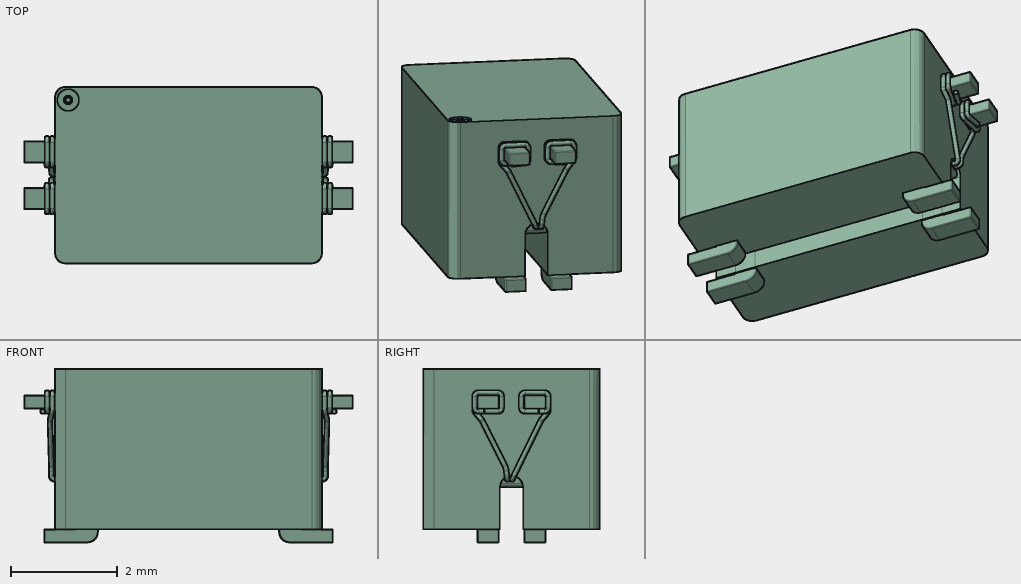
import cadquery as cq
import math

HOUSING_LENGTH = 4.995
HOUSING_WIDTH = 3.3
HOUSING_HEIGHT = 3.0
HOUSING_CORNER_RADIUS = 0.195
HOUSING_END = HOUSING_LENGTH / 2

SLOT_WIDTH = 0.43
SLOT_RADIUS = SLOT_WIDTH / 2
SLOT_SPRING_HEIGHT = 0.79

CORE_INSET = 0.06
CORE_EDGE_RADIUS = 0.075

MARK_INSET = 0.245
MARK_RADIUS = 0.2
MARK_DEPTH = 0.035
MARK_STUD_RADIUS = 0.08
MARK_STUD_TIP_RADIUS = 0.05
MARK_STUD_HEIGHT = 0.025

LEAD_WIDTH = 0.4
LEAD_THICKNESS = 0.245
LEAD_EDGE_RADIUS = 0.02
LEAD_OFFSET_Y = 0.435
PIN_TIP_X = 3.075
PIN_CENTRE_Z = HOUSING_HEIGHT - 0.62
PIN_TOP_Z = PIN_CENTRE_Z + LEAD_THICKNESS / 2
FOOT_TIP_X = 2.7
LEG_INNER_X = 1.69
LEG_OUTER_X = 2.13
LEG_CORNER_RADIUS = 0.2

WIRE_RADIUS = 0.046
COIL_GAP = 0.005
COIL_PITCH = 0.1
COIL_BEND_RADIUS = WIRE_RADIUS + COIL_GAP + LEAD_EDGE_RADIUS
EASY_BEND_RADIUS = 0.31
TAIL_FRACTION = 0.65
TAIL_RISE_OUT = 0.08
KINK_OUT = 0.09
KINK_Y = 0.555
KINK_Z = 2.04
ENTRY_Z = 0.935
STRAIGHT_LOWER_END = [(0.06, 0.01, ENTRY_Z)]
BOWED_LOWER_END = [(0.075, -0.08, ENTRY_Z), (0.06, -0.105, 1.15)]


def half_round_bar(length):
    """Bar along X filling the half-round top of the slot, flat side down."""
    return (
        cq.Workplane("YZ", origin=(-length / 2, 0, 0))
        .moveTo(-SLOT_RADIUS, SLOT_SPRING_HEIGHT)
        .lineTo(SLOT_RADIUS, SLOT_SPRING_HEIGHT)
        .threePointArc((0, SLOT_SPRING_HEIGHT + SLOT_RADIUS), (-SLOT_RADIUS, SLOT_SPRING_HEIGHT))
        .close()
        .extrude(length)
    )


def make_core():
    """Core bar with its lower end edges rounded."""
    bar = half_round_bar(HOUSING_LENGTH - 2 * CORE_INSET)
    return bar.faces("<Z").edges("|Y").fillet(CORE_EDGE_RADIUS)


def make_lead(side_x, side_y):
    """C-shaped strip lead at one end of the housing and one side of the slot."""
    pin_bottom_z = PIN_TOP_Z - LEAD_THICKNESS
    outline = [
        (PIN_TIP_X, PIN_TOP_Z),
        (LEG_INNER_X, PIN_TOP_Z),
        (LEG_INNER_X, -LEAD_THICKNESS),
        (FOOT_TIP_X, -LEAD_THICKNESS),
        (FOOT_TIP_X, 0),
        (LEG_OUTER_X, 0),
        (LEG_OUTER_X, pin_bottom_z),
        (PIN_TIP_X, pin_bottom_z),
    ]
    strip = (
        cq.Workplane("XZ", origin=(0, LEAD_WIDTH / 2, 0))
        .polyline(outline)
        .close()
        .extrude(LEAD_WIDTH)
    )
    strip = strip.faces("<X").edges("|Y").fillet(LEG_CORNER_RADIUS)
    strip = strip.edges().fillet(LEAD_EDGE_RADIUS)
    if side_x < 0:
        strip = strip.mirror("YZ")
    return strip.translate((0, side_y * LEAD_OFFSET_Y, 0))


def rounded_path(points, radii):
    """Wire along the points, with each corner between the two ends rounded to its radius."""
    edges = []
    start = points[0]
    for before, corner, after, radius in zip(points, points[1:], points[2:], radii):
        back = (before - corner).normalized()
        ahead = (after - corner).normalized()
        half_angle = back.getAngle(ahead) / 2
        tangent = radius / math.tan(half_angle)
        arc_start = corner + back * tangent
        arc_end = corner + ahead * tangent
        to_middle = radius / math.sin(half_angle) - radius
        arc_middle = corner + (back + ahead).normalized() * to_middle
        edges.append(cq.Edge.makeLine(start, arc_start))
        edges.append(cq.Edge.makeThreePointArc(arc_start, arc_middle, arc_end))
        start = arc_end
    edges.append(cq.Edge.makeLine(start, points[-1]))
    return cq.Wire.assembleEdges(edges)


def make_winding(side_x, side_y, lower_end):
    """Wire from the core up to a pin and twice around it, ending in a short tail."""
    reach_y = LEAD_WIDTH / 2 + COIL_GAP + WIRE_RADIUS
    reach_z = LEAD_THICKNESS / 2 + COIL_GAP + WIRE_RADIUS
    outer_y = side_y * (LEAD_OFFSET_Y + reach_y)
    inner_y = side_y * (LEAD_OFFSET_Y - reach_y)
    bottom_z = PIN_CENTRE_Z - reach_z
    top_z = PIN_CENTRE_Z + reach_z

    entry_y = lower_end[0][1]
    route = [(-CORE_INSET, entry_y, ENTRY_Z), *lower_end, (KINK_OUT, side_y * KINK_Y, KINK_Z)]
    for turn in range(2):
        out = COIL_PITCH * (turn + 0.5)
        route += [
            (out, outer_y, bottom_z),
            (out, outer_y, top_z),
            (out, inner_y, top_z),
            (out, inner_y, bottom_z),
        ]
    last_out = route[-1][0]
    tail_out = last_out + TAIL_RISE_OUT
    tail_y = inner_y + TAIL_FRACTION * (outer_y - inner_y)
    route.append((tail_out, tail_y, bottom_z))

    points = [cq.Vector(side_x * (HOUSING_END + out), y, z) for out, y, z in route]
    easy_bends = len(lower_end) - 1
    radii = [COIL_BEND_RADIUS] * (len(points) - 2)
    radii[1:1 + easy_bends] = [EASY_BEND_RADIUS] * easy_bends
    path = rounded_path(points, radii)
    section = cq.Workplane(cq.Plane(points[0], xDir=(0, 1, 0), normal=(side_x, 0, 0)))
    return section.circle(WIRE_RADIUS).sweep(cq.Workplane(path))


def make_mark_recess():
    """Round recess with a tapered stud left standing on its floor."""
    floor_z = HOUSING_HEIGHT - MARK_DEPTH
    centre = cq.Vector(MARK_INSET - HOUSING_END, HOUSING_WIDTH / 2 - MARK_INSET, floor_z)
    up = cq.Vector(0, 0, 1)
    disc = cq.Solid.makeCylinder(MARK_RADIUS, MARK_DEPTH, centre, up)
    stud = cq.Solid.makeCone(MARK_STUD_RADIUS, MARK_STUD_TIP_RADIUS, MARK_STUD_HEIGHT, centre, up)
    return cq.Workplane(disc.cut(stud))


def make_housing(leads):
    """Block with the slot, the corner mark and a fitting cavity for every lead."""
    block = (
        cq.Workplane("XY")
        .rect(HOUSING_LENGTH, HOUSING_WIDTH)
        .extrude(HOUSING_HEIGHT)
        .edges("|Z")
        .fillet(HOUSING_CORNER_RADIUS)
    )
    slot_walls = cq.Workplane("XY").rect(HOUSING_LENGTH, SLOT_WIDTH).extrude(SLOT_SPRING_HEIGHT)
    block = block.cut(slot_walls).cut(half_round_bar(HOUSING_LENGTH)).cut(make_mark_recess())
    for lead in leads:
        block = block.cut(lead)
    return block


leads = []
windings = []
for side_x in (-1, 1):
    for side_y, lower_end in ((1, STRAIGHT_LOWER_END), (-1, BOWED_LOWER_END)):
        leads.append(make_lead(side_x, side_y))
        windings.append(make_winding(side_x, side_y, lower_end))

core = make_core()
housing = make_housing(leads)

result = cq.Compound.makeCompound(
    [housing.val(), core.val(), *[lead.val() for lead in leads], *[winding.val() for winding in windings]]
)